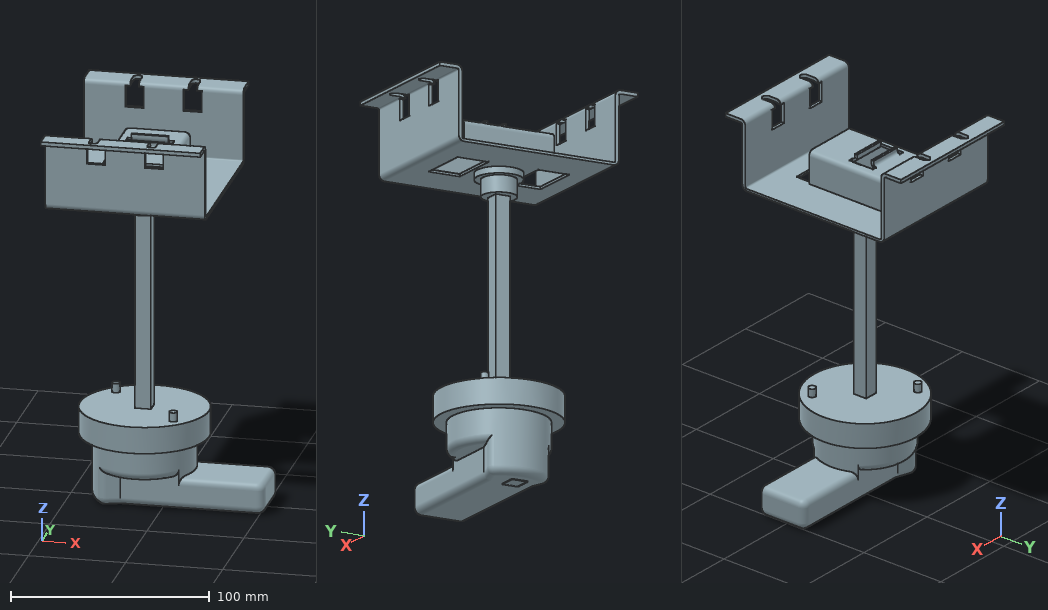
import cadquery as cq
import math


total_height = 205.2
bracket_height = 39.8
bracket_bottom = total_height - bracket_height
boss_bottom = 152.9
disc_top = 48.6
disc_bottom = 34.7
grip_top = 17.5

sheet = 2.0
base_sheet = 1.5
bend_inner = 1.0
bend_outer = bend_inner + sheet
bracket_length = 82.0
bracket_span = 114.0
channel_width = 92.3
slot_x = 15.0
slot_width = 4.5
slot_end_y = 54.2
wall_slot_width = 9.5
wall_slot_bottom = 191.5
wall_slot_top = 202.7
opening_width = 30.0
opening_end_y = 32.2
bridge_half_width = 14.4

hood_width = 34.0
hood_back_y = 29.5
hood_front_y = -22.4
hood_top = 185.5
hood_sheet = 1.5
hood_round = 3.0
window_width = 24.0
window_back_y = 15.0
window_front_y = -0.5
tab_width = 18.9
tab_top = 188.5
tab_bend = 1.6

collar_radius = 12.5
collar_height = 3.5
boss_radius = 9.2
shaft_side = 8.2

disc_radius = 33.2
pin_radius = 2.0
pin_offset = 18.9
pin_height = 4.7

knob_radius = 26.5
knob_round = 4.1
handle_end_x = 65.0
handle_width = 30.0
handle_center_y = -1.0
flare_start_x = -9.0
flare_angle = 18.0
tolerance = 0.02

mark_height = 0.5
mark_length = 10.3
mark_width = 9.0
mark_center_x = -12.7
mark_center_y = -2.0


def block(x_range, y_range, z_range):
    """Axis-aligned box between the given limits."""
    size = [high - low for low, high in (x_range, y_range, z_range)]
    corner = (x_range[0], y_range[0], z_range[0])
    return cq.Workplane("XY").box(*size, centered=False).translate(corner)


def cylinder(radius, bottom, top, x=0, y=0):
    return cq.Workplane("XY", origin=(x, y, bottom)).circle(radius).extrude(top - bottom)


def flange_and_wall():
    """One bent side of the bracket, on the +Y side, from the base bend to the flange edge."""
    wall_out = channel_width / 2
    wall_in = wall_out - sheet
    flange_edge = bracket_span / 2
    floor_top = bracket_bottom + base_sheet
    profile = (
        cq.Workplane("YZ", origin=(-bracket_length / 2, 0, 0))
        .moveTo(0, bracket_bottom)
        .lineTo(wall_out - bend_outer, bracket_bottom)
        .radiusArc((wall_out, bracket_bottom + bend_outer), -bend_outer)
        .lineTo(wall_out, total_height - bend_outer)
        .radiusArc((wall_out + bend_inner, total_height - sheet), bend_inner)
        .lineTo(flange_edge, total_height - sheet)
        .lineTo(flange_edge, total_height)
        .lineTo(wall_in + bend_outer, total_height)
        .radiusArc((wall_in, total_height - bend_outer), -bend_outer)
        .lineTo(wall_in, floor_top + bend_inner)
        .radiusArc((wall_in - bend_inner, floor_top), bend_inner)
        .lineTo(0, floor_top)
        .close()
    )
    side = profile.extrude(bracket_length)
    for x in (-slot_x, slot_x):
        side = side.cut(slot_cutter(x, wall_in))
    return side


def slot_cutter(x, wall_in):
    """Round-ended flange slot that opens into a wider window in the wall."""
    end_center_y = slot_end_y - slot_width / 2
    half = slot_width / 2
    window_half = wall_slot_width / 2
    wall_y = (wall_in - sheet, wall_in + 2 * sheet)
    window = block((x - window_half, x + window_half), wall_y, (wall_slot_bottom, wall_slot_top))
    slot = block((x - half, x + half), (wall_y[0], end_center_y), (wall_slot_bottom, total_height))
    slot_end = cylinder(half, total_height - 2 * sheet, total_height, x, end_center_y)
    return window.union(slot).union(slot_end)


def bracket():
    half = flange_and_wall()
    body = half.union(half.mirror("XZ"))
    opening_x = (-opening_width / 2, opening_width / 2)
    opening_z = (bracket_bottom, bracket_bottom + base_sheet)
    for y_range in ((bridge_half_width, opening_end_y), (-opening_end_y, -bridge_half_width)):
        body = body.cut(block(opening_x, y_range, opening_z))
    return body


def tab(edge_y, inward):
    """Tab bent up from a window edge; inward is the Y direction into the window."""
    bend_out = tab_bend + hood_sheet
    under = hood_top - hood_sheet
    near_y = edge_y + inward * tab_bend
    far_y = edge_y + inward * bend_out
    bend_end_z = hood_top + tab_bend
    return (
        cq.Workplane("YZ", origin=(-tab_width / 2, 0, 0))
        .moveTo(edge_y - inward * hood_sheet, hood_top)
        .lineTo(edge_y, hood_top)
        .radiusArc((near_y, bend_end_z), inward * -tab_bend)
        .lineTo(near_y, tab_top)
        .lineTo(far_y, tab_top)
        .lineTo(far_y, bend_end_z)
        .radiusArc((edge_y, under), inward * bend_out)
        .lineTo(edge_y - inward * hood_sheet, under)
        .close()
        .extrude(tab_width)
    )


def hood():
    """Sheet cover open at both Y ends, with a window and two tabs in its top."""
    half = hood_width / 2
    base_z = bracket_bottom + base_sheet / 2
    y_range = (hood_front_y, hood_back_y)
    outer = block((-half, half), y_range, (base_z, hood_top)).edges("|Y and >Z").fillet(hood_round)
    inner_half = half - hood_sheet
    inner = block((-inner_half, inner_half), y_range, (base_z, hood_top - hood_sheet))
    inner = inner.edges("|Y and >Z").fillet(hood_round - hood_sheet)
    window_x = (-window_width / 2, window_width / 2)
    window = block(window_x, (window_front_y, window_back_y), (hood_top - hood_sheet, hood_top))
    shell = outer.cut(inner).cut(window)
    return shell.union(tab(window_back_y, -1)).union(tab(window_front_y, 1))


def shaft():
    collar = cylinder(collar_radius, bracket_bottom - collar_height, bracket_bottom)
    boss = cylinder(boss_radius, boss_bottom, bracket_bottom)
    half = shaft_side / 2
    bar = block((-half, half), (-half, half), (disc_top, boss_bottom))
    return collar.union(boss).union(bar)


def disc():
    body = cylinder(disc_radius, disc_bottom, disc_top)
    for side in (-1, 1):
        pin = cylinder(pin_radius, disc_top, disc_top + pin_height, side * pin_offset, -side * pin_offset)
        body = body.union(pin)
    return body


def grip_plan():
    """Grip outline: a straight handle that flares near -X and wraps round the knob's edge."""
    half = handle_width / 2
    flare_x = -knob_radius
    flare_half = half + (flare_start_x - flare_x) * math.tan(math.radians(flare_angle))
    return (
        cq.Workplane("XY", origin=(0, 0, mark_height))
        .moveTo(handle_end_x, handle_center_y - half)
        .lineTo(handle_end_x, handle_center_y + half)
        .lineTo(flare_start_x, handle_center_y + half)
        .lineTo(flare_x, handle_center_y + flare_half)
        .lineTo(flare_x, handle_center_y - flare_half)
        .lineTo(flare_start_x, handle_center_y - half)
        .close()
    )


def is_notch_rim(edge):
    """True for the outer edges of the cutaways: ceiling arcs and the uprights near -X."""
    center = edge.Center()
    on_ceiling = edge.geomType() == "CIRCLE" and abs(center.z - grip_top) < tolerance
    ceiling_arc = on_ceiling and abs(center.y) > handle_width / 2
    is_upright = edge.geomType() == "LINE" and mark_height < center.z < grip_top - tolerance
    return ceiling_arc or (is_upright and center.x < flare_start_x - tolerance)


def is_handle_edge(edge):
    """True for the handle's upper and end edges, outside the round knob."""
    center = edge.Center()
    return center.x > knob_radius + tolerance and center.z > mark_height + tolerance


def knob():
    """Round knob cut away beside the grip, with every exposed lower edge rounded."""
    grip = grip_plan().extrude(grip_top - mark_height)
    handle_region = block((0, handle_end_x), (-knob_radius, knob_radius), (mark_height, grip_top))
    grip = grip.intersect(cylinder(knob_radius, mark_height, grip_top).union(handle_region))
    body = cylinder(knob_radius, grip_top, disc_bottom).union(grip)
    body = body.newObject(body.edges().filter(is_notch_rim).vals()).fillet(knob_round)
    handle_edges = body.edges().filter(is_handle_edge).vals()
    bottom_edges = body.faces("<Z").edges().vals()
    return body.newObject(handle_edges + bottom_edges).fillet(knob_round)


def index_mark():
    x_range = (mark_center_x - mark_length / 2, mark_center_x + mark_length / 2)
    y_range = (mark_center_y - mark_width / 2, mark_center_y + mark_width / 2)
    return block(x_range, y_range, (0, mark_height + knob_round))


result = bracket().union(hood()).union(shaft()).union(disc()).union(knob()).union(index_mark())